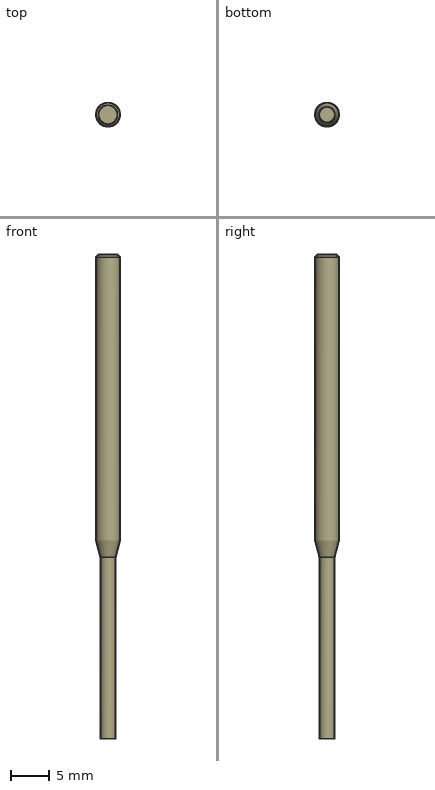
import cadquery as cq

overall_length = 63.5

cutting_diameter = 2.03
cutting_length = 23.8

shank_diameter = 3.175
neck_length = 2.2
end_chamfer = 0.35

cutting_radius = cutting_diameter / 2
shank_radius = shank_diameter / 2
neck_top = cutting_length + neck_length


def make_cutting_part():
    """Thin cylinder from the tip up to the small end of the neck."""
    return cq.Workplane("XY").circle(cutting_radius).extrude(cutting_length)


def make_shank():
    """Half profile of (radius, height) points, revolved about Z."""
    half_profile = [
        (0, cutting_length),
        (cutting_radius, cutting_length),
        (shank_radius, neck_top),
        (shank_radius, overall_length - end_chamfer),
        (shank_radius - end_chamfer, overall_length),
        (0, overall_length),
    ]
    outline = cq.Workplane("XZ").polyline(half_profile).close()
    return outline.revolve(360, (0, 0), (0, 1))


cutting_part = make_cutting_part()
shank = make_shank()

result = cq.Compound.makeCompound([cutting_part.val(), shank.val()])